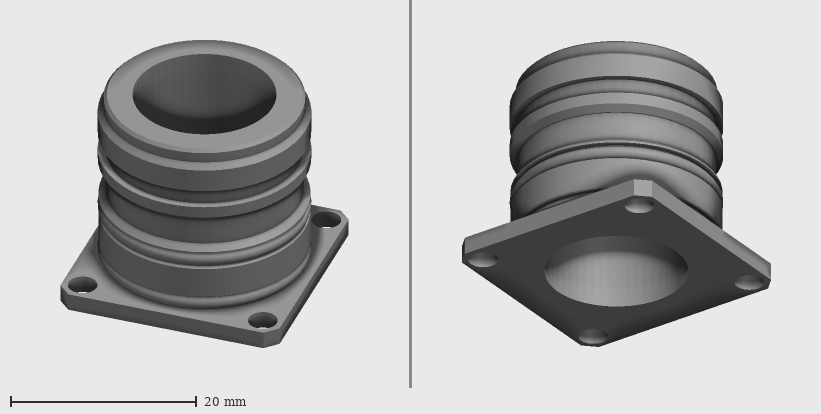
import cadquery as cq

flange_side = 25.0
flange_thickness = 2.0
corner_chamfer = 1.38
mount_hole_diameter = 3.2
mount_hole_spacing = 20.55

bore_radius = 7.75
neck_radius = 10.7
seat_radius = 10.82
collar_radius = 11.5
land_radius = 11.42
nose_radius = 10.85
nose_chamfer = 0.35

land_bottom = 3.8
land_top = 7.62
land_chamfer = 0.12
lip_bottom = 9.48
lip_edge_top = 9.7
lip_top = 10.35
lower_collar_cone_bottom = 13.55
lower_collar_bottom = 14.25
lower_collar_top = 15.58
upper_collar_bottom = 17.65
upper_collar_top = 20.32
nose_bottom = 20.95
total_height = 22.5

ring_section_radius = 0.8
ring_centre_radius = collar_radius - ring_section_radius
ring_heights = [flange_thickness + ring_section_radius, 8.45]


def make_ring(height):
    """Round-section sealing ring around the Z axis."""
    return cq.Workplane(cq.Solid.makeTorus(ring_centre_radius, ring_section_radius, cq.Vector(0, 0, height)))


def make_flange():
    """Square plate with chamfered corners and four mounting holes."""
    return (
        cq.Workplane("XY")
        .rect(flange_side, flange_side)
        .extrude(flange_thickness)
        .edges("|Z")
        .chamfer(corner_chamfer)
        .faces(">Z")
        .workplane()
        .rect(mount_hole_spacing, mount_hole_spacing, forConstruction=True)
        .vertices()
        .hole(mount_hole_diameter)
    )


def make_sleeve():
    """Turned sleeve with ring grooves, a land, two collars and a nose."""
    profile = [
        (0, 0),
        (seat_radius, 0),
        (seat_radius, land_bottom),
        (land_radius - land_chamfer, land_bottom),
        (land_radius, land_bottom + land_chamfer),
        (land_radius, land_top - land_chamfer),
        (land_radius - land_chamfer, land_top),
        (seat_radius, land_top),
        (seat_radius, lip_bottom),
        (land_radius, lip_bottom),
        (land_radius, lip_edge_top),
        (neck_radius, lip_top),
        (neck_radius, lower_collar_cone_bottom),
        (seat_radius, lower_collar_cone_bottom),
        (collar_radius, lower_collar_bottom),
        (collar_radius, lower_collar_top),
        (neck_radius, lower_collar_top),
        (neck_radius, upper_collar_bottom),
        (collar_radius, upper_collar_bottom),
        (collar_radius, upper_collar_top),
        (nose_radius, nose_bottom),
        (nose_radius, total_height - nose_chamfer),
        (nose_radius - nose_chamfer, total_height),
        (0, total_height),
    ]
    return cq.Workplane("XZ").polyline(profile).close().revolve(360, (0, 0, 0), (0, 1, 0))


def make_housing(rings):
    """Flange and sleeve in one piece, bored through and recessed for the rings."""
    bore = cq.Workplane("XY").circle(bore_radius).extrude(total_height)
    housing = make_flange().union(make_sleeve()).cut(bore)
    for ring in rings:
        housing = housing.cut(ring)
    return housing


sealing_rings = [make_ring(height) for height in ring_heights]
housing = make_housing(sealing_rings)

result = cq.Compound.makeCompound([housing.val(), *[ring.val() for ring in sealing_rings]])